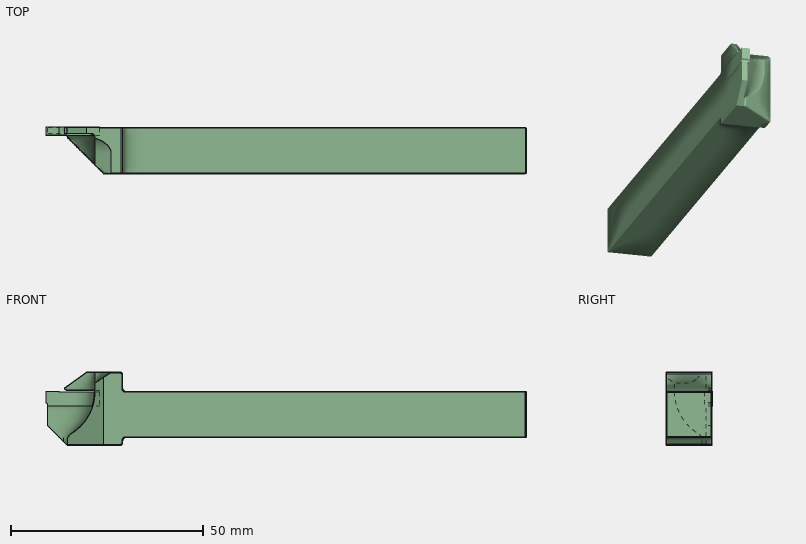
import cadquery as cq
import math


total_length = 125.0
shank_size = 12.0
shank_bottom = 2.0
shank_top = shank_bottom + shank_size
head_end = 20.0
head_height = 19.0
neck_radius = 0.8
front_edge_chamfer = 0.2
end_chamfer = 0.3
head_corner_chamfer = 0.4

insert_length = 14.0
insert_height = 3.8
insert_bottom = shank_top - insert_height
insert_front = 10.0
insert_back = 12.2
insert_relief_depth = 0.4
insert_relief_start = 11.1
insert_relief_end = 10.8
insert_land_length = 3.4
insert_step = 0.1
clamp_gap = 0.3
seat_top = shank_top + clamp_gap

blade_nose = insert_relief_depth
blade_front = 10.5
blade_corner_height = 5.2
blade_bottom_start = blade_nose + blade_corner_height
clamp_nose = 4.9
clamp_nose_height = 14.9
clamp_nose_undercut = 0.5
clamp_nose_land = 0.3
clamp_top_start = 10.6

pocket_radius = 12.8
pocket_arc_end_x = 6.7
pocket_arc_end_z = shank_top - math.sqrt(pocket_radius**2 - pocket_arc_end_x**2)
pocket_toe_x = blade_bottom_start
pocket_toe_z = 1.3
pocket_fillet = 1.1

slant_start = 15.05

ramp_end = 17.0
ramp_depth = 2.8
ramp_angle = math.degrees(math.atan2(ramp_depth, ramp_end - pocket_radius))
ramp_flat_width = 5.3
ramp_radius = 4.5
ramp_cut_length = 10.0
ramp_cut_height = 6.0

margin = 1.0
tolerance = 0.01


def extrude_back(outline, front, back):
    """Extrude an outline drawn in X and Z from Y = front to Y = back."""
    return outline.extrude(front - back).translate((0, front, 0))


def head_back_edge(height):
    """Pick the edge along Y where the head meets the shank end, at the given height."""
    return cq.selectors.NearestToPointSelector((head_end, shank_size / 2, height))


def make_blank():
    """Shank and T-shaped head with the outer profile of the blades, before any cuts."""
    outline = (
        cq.Workplane("XZ")
        .moveTo(blade_nose, clamp_nose_height)
        .lineTo(blade_nose, blade_corner_height)
        .lineTo(blade_bottom_start, 0)
        .lineTo(head_end, 0)
        .lineTo(head_end, shank_bottom)
        .lineTo(total_length, shank_bottom)
        .lineTo(total_length, shank_top)
        .lineTo(head_end, shank_top)
        .lineTo(head_end, head_height)
        .lineTo(clamp_top_start, head_height)
        .lineTo(clamp_nose, clamp_nose_height)
        .close()
    )
    blank = extrude_back(outline, 0, shank_size)
    for height in (shank_bottom, shank_top):
        blank = blank.edges(head_back_edge(height)).fillet(neck_radius)
    for height in (0, head_height):
        blank = blank.edges(head_back_edge(height)).chamfer(head_corner_chamfer)
    return blank.faces(">X").edges().chamfer(end_chamfer)


def cut_pocket(body):
    """Clear the space in front of the blades and round the foot of the curved wall it leaves."""
    mid_angle = (math.asin(pocket_arc_end_x / pocket_radius) + math.pi / 2) / 2
    arc_middle = (pocket_radius * math.sin(mid_angle), shank_top - pocket_radius * math.cos(mid_angle))
    outline = (
        cq.Workplane("XZ")
        .moveTo(-margin, -margin)
        .lineTo(pocket_toe_x, -margin)
        .lineTo(pocket_toe_x, pocket_toe_z)
        .tangentArcPoint((pocket_arc_end_x, pocket_arc_end_z), relative=False)
        .threePointArc(arc_middle, (pocket_radius, shank_top))
        .lineTo(pocket_radius, head_height + margin)
        .lineTo(-margin, head_height + margin)
        .close()
    )
    body = body.cut(extrude_back(outline, -margin, blade_front))
    wall_foot = cq.selectors.BoxSelector(
        (pocket_toe_x - tolerance, blade_front - tolerance, -tolerance),
        (pocket_radius + tolerance, blade_front + tolerance, head_height + tolerance),
        boundingbox=True,
    )
    return body.edges(wall_foot).edges("not >Z").fillet(pocket_fillet)


def make_slant():
    """Cutter for the 45 degree face that runs back from the front face to the pocket floor."""
    return (
        cq.Workplane("XY")
        .moveTo(slant_start + margin, -margin)
        .lineTo(slant_start - blade_front, blade_front)
        .lineTo(-margin, blade_front)
        .lineTo(-margin, -margin)
        .close()
        .extrude(head_height + 2 * margin)
        .translate((0, 0, -margin))
    )


def make_ramp():
    """Cutter with a flat floor that curls up along its back, tilted to slope down towards -X."""
    arc_half_angle = math.radians(45)
    arc_middle = (
        ramp_flat_width + ramp_radius * math.sin(arc_half_angle),
        ramp_radius * (1 - math.cos(arc_half_angle)),
    )
    profile = (
        cq.Workplane("YZ")
        .moveTo(-margin, 0)
        .lineTo(ramp_flat_width, 0)
        .threePointArc(arc_middle, (ramp_flat_width + ramp_radius, ramp_radius))
        .lineTo(ramp_flat_width + ramp_radius, ramp_cut_height)
        .lineTo(-margin, ramp_cut_height)
        .close()
    )
    return (
        profile.extrude(ramp_cut_length, both=True)
        .rotate((0, 0, 0), (0, 1, 0), -ramp_angle)
        .translate((ramp_end, 0, head_height))
    )


def make_seat():
    """Slot through the head for the insert, with a gap below the clamping blade."""
    outline = (
        cq.Workplane("XZ")
        .moveTo(-margin, insert_bottom)
        .lineTo(insert_length, insert_bottom)
        .lineTo(insert_length, seat_top)
        .lineTo(clamp_nose + clamp_nose_undercut, seat_top)
        .lineTo(clamp_nose, clamp_nose_height - clamp_nose_land)
        .lineTo(clamp_nose, clamp_nose_height)
        .lineTo(-margin, clamp_nose_height)
        .close()
    )
    return extrude_back(outline, insert_front, shank_size + margin)


def make_insert():
    """Cutting insert with a raised land at the edge and a relieved nose."""
    outline = (
        cq.Workplane("XZ")
        .moveTo(0, shank_top)
        .lineTo(0, insert_relief_start)
        .lineTo(insert_relief_depth, insert_relief_end)
        .lineTo(insert_relief_depth, insert_bottom)
        .lineTo(insert_length, insert_bottom)
        .lineTo(insert_length, shank_top - insert_step)
        .lineTo(insert_land_length, shank_top - insert_step)
        .lineTo(insert_land_length, shank_top)
        .close()
    )
    return extrude_back(outline, insert_front, insert_back)


def break_front_edges(body):
    """Chamfer the rim of the front face and the bottom edge of the slanted face."""
    rim = body.faces("<Y").edges("not <X")
    slant_facing = cq.selectors.ParallelDirSelector(cq.Vector(-1, -1, 0))
    slant_bottom = body.faces(slant_facing).edges("<Z")
    return body.newObject(rim.vals() + slant_bottom.vals()).chamfer(front_edge_chamfer)


def make_holder():
    """Tool holder: blank with the pocket, slanted face, chip ramp and insert seat cut into it."""
    body = cut_pocket(make_blank())
    body = body.cut(make_slant())
    body = break_front_edges(body)
    return body.cut(make_ramp()).cut(make_seat())


holder = make_holder()
insert = make_insert()
result = cq.Compound.makeCompound([holder.val(), insert.val()])